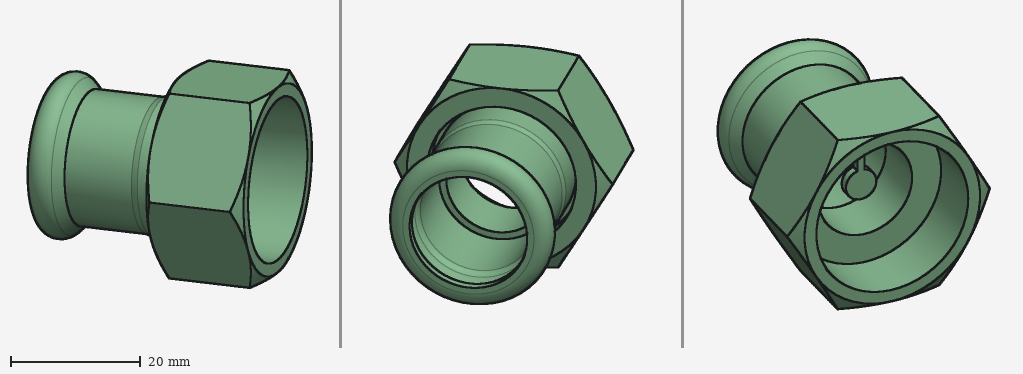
import cadquery as cq
import math

total_length = 37.1

wall = 1.52
bead_radius = 2.6
bead_ring_radius = 10.43
mouth_radius = 9.35
tube_radius = 10.7
socket_radius = tube_radius - wall
groove_blend = 1.85
shank_radius = 11.0
bore_radius = 8.0
step_start = 17.03
step_end = 18.1
collar_radius = 13.0
collar_start = 24.5
collar_end = 27.45

disc_radius = 2.6
spoke_width = 1.22
spoke_embed = 0.37
disc_thickness = wall

nut_start = 21.1
nut_length = total_length - nut_start
across_flats = 30.0
across_corners = across_flats / math.cos(math.pi / 6)
chamfer_length = 1.37
face_radius = across_flats / 2
neck_radius = 11.85
nut_bore_radius = collar_radius


def bead_point(radius, angle):
    """Point on a circle about the bead's centre, as (x, distance from the axis)."""
    x = bead_radius + radius * math.cos(math.radians(angle))
    return x, bead_ring_radius + radius * math.sin(math.radians(angle))


def cone_foot(start, radius):
    """Where a 45 degree cone falling from start reaches the given radius."""
    return start[0] + start[1] - radius, radius


def make_fitting():
    groove_radius = bead_radius - wall
    outer_tangent = bead_point(bead_radius, 45)
    inner_tangent = bead_point(groove_radius, 45)
    blend_foot = cone_foot(inner_tangent, socket_radius)
    blend_length = groove_blend * math.tan(math.radians(22.5))
    blend_leg = blend_length * math.sin(math.radians(45))
    blend_end = (blend_foot[0] - blend_leg, socket_radius + blend_leg)
    body = (
        cq.Workplane("XY")
        .moveTo(0, mouth_radius)
        .lineTo(*bead_point(bead_radius, 180))
        .threePointArc(bead_point(bead_radius, 90), outer_tangent)
        .lineTo(*cone_foot(outer_tangent, tube_radius))
        .lineTo(step_start, tube_radius)
        .lineTo(step_end, shank_radius)
        .lineTo(collar_start, shank_radius)
        .lineTo(collar_start, collar_radius)
        .lineTo(collar_end, collar_radius)
        .lineTo(collar_end, bore_radius)
        .lineTo(step_end, bore_radius)
        .lineTo(step_end, socket_radius)
        .lineTo(blend_foot[0] + blend_length, socket_radius)
        .tangentArcPoint(blend_end, relative=False)
        .lineTo(*inner_tangent)
        .threePointArc(bead_point(groove_radius, 90), bead_point(groove_radius, 180))
        .lineTo(wall, mouth_radius)
        .close()
        .revolve(360, (0, 0), (1, 0))
    )
    disc_plane = cq.Workplane("YZ", origin=(collar_start, 0, 0))
    disc = disc_plane.circle(disc_radius).extrude(disc_thickness)
    spoke_length = bore_radius + spoke_embed
    spoke = (
        disc_plane.center(0, spoke_length / 2)
        .rect(spoke_width, spoke_length)
        .extrude(disc_thickness)
    )
    return body.union(disc.union(spoke))


def make_nut():
    hexagon = (
        cq.Workplane("YZ", origin=(nut_start, 0, 0))
        .polygon(6, across_corners)
        .extrude(nut_length)
    )
    corner_radius = across_corners / 2
    envelope = (
        cq.Workplane("XY")
        .moveTo(nut_start, 0)
        .lineTo(nut_start, face_radius)
        .lineTo(nut_start + chamfer_length, corner_radius)
        .lineTo(total_length - chamfer_length, corner_radius)
        .lineTo(total_length, face_radius)
        .lineTo(total_length, 0)
        .close()
        .revolve(360, (0, 0), (1, 0))
    )
    neck = cq.Workplane("YZ", origin=(nut_start, 0, 0)).circle(neck_radius).extrude(nut_length)
    bore = (
        cq.Workplane("YZ", origin=(collar_start, 0, 0))
        .circle(nut_bore_radius)
        .extrude(total_length - collar_start)
    )
    return hexagon.intersect(envelope).cut(neck).cut(bore)


fitting = make_fitting()
nut = make_nut()

result = cq.Compound.makeCompound([fitting.solids().val(), nut.solids().val()])